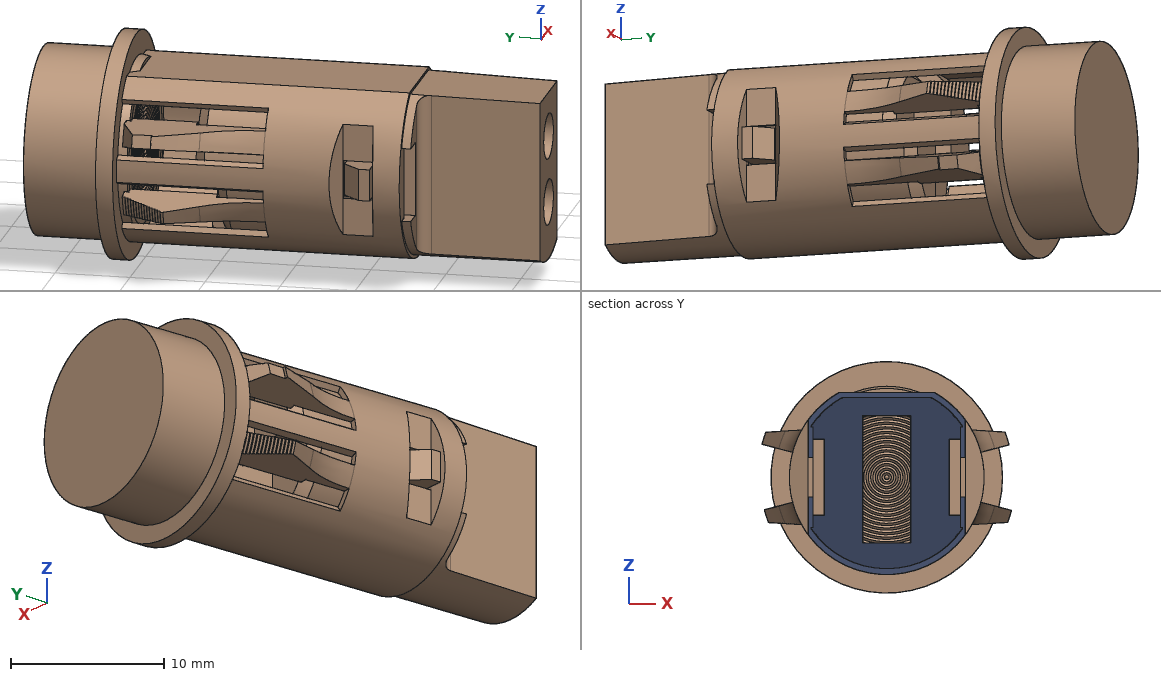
import cadquery as cq
import math


HEAD_RADIUS = 6.32
HEAD_END = 6.2
SPIGOT_RADIUS = 5.2
RING_PITCH = 0.3
RING_DEPTH = 0.12
RING_COUNT = 15

FLANGE_RADIUS = 15.11 / 2
FLANGE_THICKNESS = 1.13
TUBE_RADIUS = 6.35
TUBE_LENGTH = 18.85
TUBE_FLAT = 5.54
BORE_RADIUS = 5.94
BORE_FLAT = 5.2
COLLAR_LENGTH = 0.6
COLLAR_END_RADIUS = 5.8

SLOT_BOTTOM = 0.76
SLOT_TOP = 4.38
SLOT_INNER_BOTTOM = 0.97
SLOT_INNER_TOP = 4.02
FINGER_ROOT = -9.76
FINGER_END = -0.4
FINGER_END_RADIUS = 6.5
FINGER_INNER_RADIUS = 5.55
FINGER_CLEARANCE = 0.1
FINGER_ARC_RADIUS = 9.5
FINGER_ARC_RUN = 4.1
TIP_X = 16.28 / 2
TIP_Z = 2.15
HOOK_TIP_RADIUS = math.hypot(TIP_X, TIP_Z)
HOOK_TIP = -2.64
HOOK_SHOULDER = -1.36
HOOK_SHOULDER_RADIUS = 8.26
HOOK_NECK_RADIUS = 8.2
STEP_TIP_RADIUS = 8.26
STEP_TIP = -3.45
STEP_COUNT = 15
WEDGE_INNER_X = 3.0
WEDGE_INNER_BOTTOM = 0.81
WEDGE_INNER_TOP = 3.24
WEDGE_OUTER_X = 9.0
WEDGE_SLOPE = (TIP_Z - WEDGE_INNER_BOTTOM) / (TIP_X - WEDGE_INNER_X)
WEDGE_OUTER_BOTTOM = TIP_Z + WEDGE_SLOPE * (WEDGE_OUTER_X - TIP_X)
WEDGE_OUTER_TOP = 2.88

NOTCH_START = -14.17
NOTCH_FLOOR_START = -14.85
NOTCH_FLOOR_END = -16.86
NOTCH_END = -17.06
NOTCH_FLOOR_X = 5.13
PAD_INNER_X = 4.8
PAD_HALF_HEIGHT = 3.3
PAD_START = -13.5
WINDOW_HALF_HEIGHT = 1.28

RIM_RADIUS = 6.1
RIM_END = -19.45
TIP_END = HEAD_END - 33.66
RIM_TOP = 5.39
BLOCK_TOP = 5.22
BLOCK_HALF_WIDTH_RIM = 2.86
BLOCK_HALF_WIDTH_TIP = 2.71
BLOCK_FILLET = 0.8
LONG_WALL_END = -5.07
SHORT_WALL_END = -6.54
WALL_CHAMFER = 0.7
HOLE_RADIUS = 1.52
HOLE_OFFSET = 2.24
CAVITY_HALF_WIDTH = 1.55
CAVITY_BOTTOM = -4.27
CAVITY_TOP = 4.0
TIP_WALL = 1.2
GROOVE_FLOOR_X = 4.09
GROOVE_HALF_HEIGHT = 2.47
LATCH_HALF_HEIGHT = 1.06
LATCH_X = 6.17
LATCH_RAMP_START = -14.95
LATCH_RAMP_END = -16.1
LATCH_END = -16.83

REACH = 20.0


def rod(radius, start, end):
    """Cylinder on the Y axis between two stations."""
    return cq.Workplane("XZ", origin=(0, start, 0)).circle(radius).extrude(start - end)


def block(x_range, y_range, z_range):
    """Box given by its lower and upper limits along each axis."""
    limits = (x_range, y_range, z_range)
    sizes = [high - low for low, high in limits]
    lows = [low for low, high in limits]
    return cq.Workplane("XY").box(*sizes, centered=False).translate(tuple(lows))


def on_both_sides(shape):
    """A +X feature together with its mirror image on -X."""
    return shape.union(shape.mirror("YZ"))


def half_turn(shape):
    return shape.rotate((0, 0, 0), (0, 1, 0), 180)


def flatted_rod(radius, flat, start, end):
    """Cylinder on the Y axis with its top cut off at z = flat."""
    top = block((-REACH, REACH), (min(start, end), max(start, end)), (flat, REACH))
    return rod(radius, start, end).cut(top)


def side_pads(inner_x, half_height, start, end):
    """Boxes reaching outward from x = +/-inner_x."""
    return on_both_sides(block((inner_x, REACH), (end, start), (-half_height, half_height)))


def make_lens():
    head = rod(HEAD_RADIUS, HEAD_END, FLANGE_THICKNESS)
    spigot = rod(SPIGOT_RADIUS, FLANGE_THICKNESS, -COLLAR_LENGTH)
    return head.union(spigot).cut(make_ring_grooves())


def make_ring_grooves():
    """Concentric V grooves in the rear face of the lens."""
    rear = -COLLAR_LENGTH
    outline = cq.Workplane("XY").moveTo(0, rear)
    for ring in range(RING_COUNT):
        outline = outline.lineTo((ring + 0.5) * RING_PITCH, rear + RING_DEPTH)
        outline = outline.lineTo((ring + 1) * RING_PITCH, rear)
    outline = outline.lineTo(RING_COUNT * RING_PITCH, rear - RING_DEPTH).lineTo(0, rear - RING_DEPTH)
    return outline.close().revolve(360, (0, 0, 0), (0, 1, 0))


def make_tube():
    outside = flatted_rod(TUBE_RADIUS, TUBE_FLAT, 0, -TUBE_LENGTH)
    bore = flatted_rod(BORE_RADIUS, BORE_FLAT, 0, -TUBE_LENGTH)
    pads = side_pads(PAD_INNER_X, PAD_HALF_HEIGHT, PAD_START, -TUBE_LENGTH)
    return outside.cut(bore.cut(pads))


def make_collar():
    """Tapered ring behind the flange, standing proud of the tube's flat."""
    return (
        cq.Workplane("XY")
        .moveTo(0, 0)
        .lineTo(BORE_RADIUS, 0)
        .lineTo(COLLAR_END_RADIUS, -COLLAR_LENGTH)
        .lineTo(0, -COLLAR_LENGTH)
        .close()
        .revolve(360, (0, 0, 0), (0, 1, 0))
    )


def make_slots():
    """Four openings through the tube wall, two on each side, narrowing toward the bore."""
    def wall_x(radius, z):
        return math.sqrt(radius**2 - z**2)

    upper = (
        cq.Workplane("XZ")
        .moveTo(0, SLOT_INNER_BOTTOM)
        .lineTo(wall_x(BORE_RADIUS, SLOT_INNER_BOTTOM), SLOT_INNER_BOTTOM)
        .lineTo(wall_x(TUBE_RADIUS, SLOT_BOTTOM), SLOT_BOTTOM)
        .lineTo(REACH, SLOT_BOTTOM)
        .lineTo(REACH, SLOT_TOP)
        .lineTo(wall_x(TUBE_RADIUS, SLOT_TOP), SLOT_TOP)
        .lineTo(wall_x(BORE_RADIUS, SLOT_INNER_TOP), SLOT_INNER_TOP)
        .lineTo(0, SLOT_INNER_TOP)
        .close()
        .extrude(-FINGER_ROOT)
    )
    return on_both_sides(upper.union(upper.mirror("XY")))


def make_finger(nose_points, base_wall_end):
    """Finger in the +X +Z quadrant, thickened inward between the base wall and the collar.

    nose_points run from its tip to its free end as (radius, y).
    """
    thick_end = -COLLAR_LENGTH - FINGER_CLEARANCE
    sweep = math.asin(FINGER_ARC_RUN / FINGER_ARC_RADIUS)

    def arc_point(angle):
        radius = TUBE_RADIUS + FINGER_ARC_RADIUS * (1 - math.cos(angle))
        return radius, FINGER_ROOT + FINGER_ARC_RADIUS * math.sin(angle)

    profile = (
        cq.Workplane("XY")
        .moveTo(BORE_RADIUS, FINGER_ROOT)
        .lineTo(TUBE_RADIUS, FINGER_ROOT)
        .threePointArc(arc_point(sweep / 2), arc_point(sweep))
    )
    for point in nose_points:
        profile = profile.lineTo(*point)
    ring = (
        profile.lineTo(BORE_RADIUS, FINGER_END)
        .lineTo(BORE_RADIUS, thick_end)
        .lineTo(FINGER_INNER_RADIUS, thick_end)
        .lineTo(FINGER_INNER_RADIUS, base_wall_end)
        .lineTo(BORE_RADIUS, base_wall_end)
        .close()
        .revolve(360, (0, 0, 0), (0, 1, 0))
    )
    wedge = (
        cq.Workplane("XZ")
        .moveTo(WEDGE_INNER_X, WEDGE_INNER_BOTTOM)
        .lineTo(WEDGE_OUTER_X, WEDGE_OUTER_BOTTOM)
        .lineTo(WEDGE_OUTER_X, WEDGE_OUTER_TOP)
        .lineTo(WEDGE_INNER_X, WEDGE_INNER_TOP)
        .close()
        .extrude(REACH)
    )
    return ring.intersect(wedge)


def hook_nose():
    return [
        (HOOK_TIP_RADIUS, HOOK_TIP),
        (HOOK_NECK_RADIUS, HOOK_TIP),
        (HOOK_SHOULDER_RADIUS, HOOK_SHOULDER),
        (FINGER_END_RADIUS, FINGER_END),
    ]


def stepped_nose():
    """Staircase that falls from the tip to the free end."""
    run = (FINGER_END - STEP_TIP) / STEP_COUNT
    drop = (STEP_TIP_RADIUS - FINGER_END_RADIUS) / STEP_COUNT
    points = [(STEP_TIP_RADIUS, STEP_TIP)]
    for step in range(STEP_COUNT):
        radius = STEP_TIP_RADIUS - step * drop
        y = STEP_TIP + (step + 1) * run
        points.append((radius, y))
        points.append((radius - drop, y))
    return points


def make_notches():
    """Flat-bottomed notches with sloped ends across both sides of the tube."""
    start_slope = (NOTCH_START - NOTCH_FLOOR_START) / (TUBE_RADIUS - NOTCH_FLOOR_X)
    end_slope = (NOTCH_FLOOR_END - NOTCH_END) / (TUBE_RADIUS - NOTCH_FLOOR_X)
    outer_x = TUBE_RADIUS + 1
    depth = outer_x - NOTCH_FLOOR_X
    notch = (
        cq.Workplane("XY")
        .moveTo(NOTCH_FLOOR_X, NOTCH_FLOOR_START)
        .lineTo(outer_x, NOTCH_FLOOR_START + start_slope * depth)
        .lineTo(outer_x, NOTCH_FLOOR_END - end_slope * depth)
        .lineTo(NOTCH_FLOOR_X, NOTCH_FLOOR_END)
        .close()
        .extrude(REACH, both=True)
    )
    windows = side_pads(GROOVE_FLOOR_X, WINDOW_HALF_HEIGHT, NOTCH_FLOOR_START, NOTCH_FLOOR_END)
    return on_both_sides(notch).union(windows)


def make_housing():
    shell = make_tube().cut(make_slots()).cut(make_notches())
    shell = shell.union(make_collar()).union(rod(FLANGE_RADIUS, FLANGE_THICKNESS, 0))
    shell = shell.cut(rod(SPIGOT_RADIUS, FLANGE_THICKNESS, -COLLAR_LENGTH))
    hook_finger = make_finger(hook_nose(), LONG_WALL_END).mirror("YZ")
    step_finger = make_finger(stepped_nose(), SHORT_WALL_END)
    for finger in (hook_finger, step_finger):
        for placed_finger in (finger, half_turn(finger)):
            shell = shell.union(placed_finger, clean=False)
    return shell


def make_core():
    """Part inside the tube; its inner end is stepped, alternately long and short by quadrant."""
    core = flatted_rod(BORE_RADIUS, BORE_FLAT, LONG_WALL_END, -TUBE_LENGTH)
    short_core = flatted_rod(BORE_RADIUS, BORE_FLAT, SHORT_WALL_END, -TUBE_LENGTH)
    long_corner = block((-REACH, 0), (-TUBE_LENGTH, LONG_WALL_END), (0, REACH))
    long_corners = long_corner.union(half_turn(long_corner))
    long_part = core.faces(">Y").chamfer(WALL_CHAMFER).intersect(long_corners)
    short_part = short_core.faces(">Y").chamfer(WALL_CHAMFER)
    core = long_part.union(short_part)
    return core.cut(side_pads(PAD_INNER_X, PAD_HALF_HEIGHT, PAD_START, -TUBE_LENGTH))


def make_block():
    """Terminal block with tapered sides and filleted roots where it leaves the rim."""
    def half_outline(side):
        return [
            (side * (BLOCK_HALF_WIDTH_RIM + BLOCK_FILLET), RIM_END),
            (side * BLOCK_HALF_WIDTH_RIM, RIM_END - BLOCK_FILLET),
            (side * BLOCK_HALF_WIDTH_TIP, TIP_END),
        ]

    bulge = BLOCK_FILLET * (1 - math.sqrt(0.5))
    right, left = half_outline(1), half_outline(-1)
    outline = (
        cq.Workplane("XY", origin=(0, 0, -REACH))
        .moveTo(*right[0])
        .threePointArc((BLOCK_HALF_WIDTH_RIM + bulge, RIM_END - bulge), right[1])
        .lineTo(*right[2])
        .lineTo(*left[2])
        .lineTo(*left[1])
        .threePointArc((-BLOCK_HALF_WIDTH_RIM - bulge, RIM_END - bulge), left[0])
        .close()
        .extrude(2 * REACH)
    )
    return outline.intersect(rod(RIM_RADIUS, RIM_END, TIP_END))


def make_outer_end():
    """Rim and terminal block under one top face that slopes down toward the tip."""
    below_top = (
        cq.Workplane("YZ")
        .moveTo(-TUBE_LENGTH, -REACH)
        .lineTo(-TUBE_LENGTH, RIM_TOP)
        .lineTo(TIP_END, BLOCK_TOP)
        .lineTo(TIP_END, -REACH)
        .close()
        .extrude(REACH, both=True)
    )
    rim = rod(RIM_RADIUS, -TUBE_LENGTH, RIM_END)
    rim = rim.cut(side_pads(GROOVE_FLOOR_X, GROOVE_HALF_HEIGHT, -TUBE_LENGTH, RIM_END))
    return rim.union(make_block()).intersect(below_top)


def make_latches():
    """Ramped catches that stand in the windows of the housing."""
    latch = (
        cq.Workplane("XY")
        .moveTo(GROOVE_FLOOR_X, LATCH_RAMP_START)
        .lineTo(NOTCH_FLOOR_X, LATCH_RAMP_START)
        .lineTo(LATCH_X, LATCH_RAMP_END)
        .lineTo(LATCH_X, LATCH_END)
        .lineTo(GROOVE_FLOOR_X, LATCH_END)
        .close()
        .extrude(LATCH_HALF_HEIGHT, both=True)
    )
    return on_both_sides(latch)


def make_base():
    core = make_core().cut(side_pads(GROOVE_FLOOR_X, GROOVE_HALF_HEIGHT, PAD_START, -TUBE_LENGTH))
    base = core.union(make_outer_end()).union(make_latches())
    for z in (-HOLE_OFFSET, HOLE_OFFSET):
        base = base.cut(rod(HOLE_RADIUS, TIP_END + TIP_WALL, TIP_END).translate((0, 0, z)))
    return base.cut(make_cavity())


def make_cavity():
    """Hollow running from behind the tip wall to the open inner end."""
    return block(
        (-CAVITY_HALF_WIDTH, CAVITY_HALF_WIDTH),
        (TIP_END + TIP_WALL, LONG_WALL_END),
        (CAVITY_BOTTOM, CAVITY_TOP),
    )


lens = make_lens()
housing = make_housing()
base = make_base()

result = cq.Compound.makeCompound([body.solids().val() for body in (lens, housing, base)])